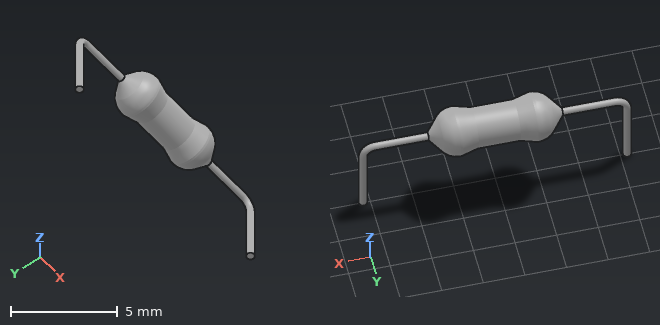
import cadquery as cq
import math

overall_length = 13.1
overall_height = 5.2

wire_diameter = 0.4
bend_radius = 0.6
wire_radius = wire_diameter / 2
leg_x = overall_length / 2 - wire_radius

bulb_diameter = 2.4
barrel_diameter = 1.99
body_half_length = 3.22
dome_start_x = 1.93
neck_outer_x = 1.81
neck_inner_x = 1.01
cone_angle = 50.0
dome_radius = 0.97
bulb_radius = bulb_diameter / 2
barrel_radius = barrel_diameter / 2
leg_bottom_z = bulb_radius - overall_height


def dome_point(side, angle):
    """Point on a dome arc, at an angle in degrees from its crest."""
    turn = math.radians(angle)
    x = dome_start_x + dome_radius * math.sin(turn)
    z = bulb_radius - dome_radius * (1 - math.cos(turn))
    return side * x, z


def make_body():
    """Barrel between two bulbs, each with a flared neck, a rounded dome and an end cone."""
    profile = (
        cq.Workplane("XZ")
        .moveTo(-body_half_length, 0)
        .lineTo(-body_half_length, wire_radius)
        .lineTo(*dome_point(-1, cone_angle))
        .threePointArc(dome_point(-1, cone_angle / 2), dome_point(-1, 0))
        .lineTo(-neck_outer_x, bulb_radius)
        .lineTo(-neck_inner_x, barrel_radius)
        .lineTo(neck_inner_x, barrel_radius)
        .lineTo(neck_outer_x, bulb_radius)
        .lineTo(*dome_point(1, 0))
        .threePointArc(dome_point(1, cone_angle / 2), dome_point(1, cone_angle))
        .lineTo(body_half_length, wire_radius)
        .lineTo(body_half_length, 0)
        .close()
    )
    return profile.revolve(360, (0, 0, 0), (1, 0, 0))


def make_lead(side):
    """Wire running outward from the body centre and bending down into a leg."""
    bend_start_x = leg_x - bend_radius
    bend_mid_x = bend_start_x + bend_radius * math.sin(math.pi / 4)
    bend_mid_z = -bend_radius * (1 - math.cos(math.pi / 4))
    path = (
        cq.Workplane("XZ")
        .lineTo(side * bend_start_x, 0)
        .threePointArc((side * bend_mid_x, bend_mid_z), (side * leg_x, -bend_radius))
        .lineTo(side * leg_x, leg_bottom_z)
    )
    return cq.Workplane("YZ").circle(wire_radius).sweep(path)


result = make_body()
for side in (-1, 1):
    result = result.union(make_lead(side))